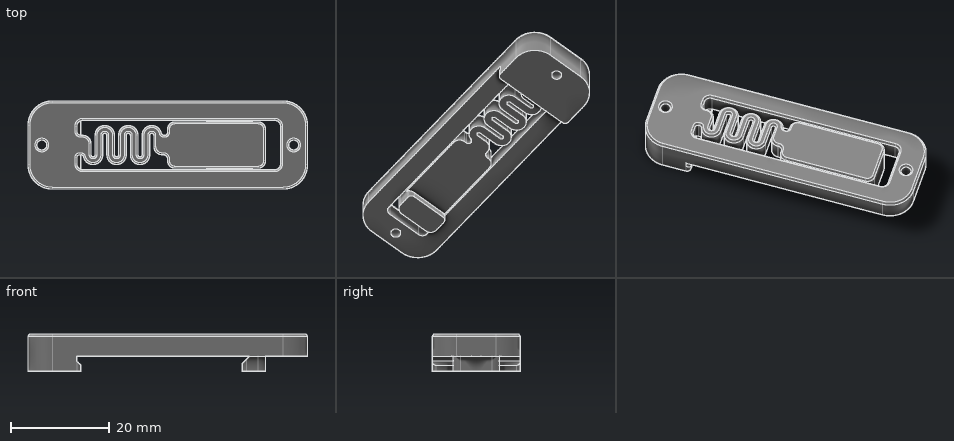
import cadquery as cq

length = 56.9
width = 18.0
height = 7.6
body_thickness = 4.6
body_bottom = height - body_thickness
corner_radius = 5.0

bevel_width = 0.4
bevel_height = 0.5

hole_diameter = 2.0
hole_x = 25.6

window_left = -18.5
window_right = 22.95
window_half_width = 5.0
window_corner_radius = 1.2

spring_width = 1.6
spring_gap = 0.8
bend_count = 6
bend_y = 2.0
first_bend_x = -15.2
bend_inner_radius = spring_gap / 2
bend_outer_radius = bend_inner_radius + spring_width
leg_pitch = spring_width + spring_gap
last_bend_x = first_bend_x + (bend_count - 1) * leg_pitch

tie_half_width = bend_y
tie_outer_radius = 1.7
tie_root_radius = 0.85
bend_root_radius = 0.55
stub_end = first_bend_x - bend_inner_radius
neck_end = last_bend_x + bend_inner_radius

pad_left = -0.05
pad_right = 19.9
pad_half_width = 4.7
pad_corner_radius = 1.55

rib_left = 7.85
rib_right = 17.2
rib_depth = 0.15
rib_z = body_bottom + body_thickness / 2

lip_depth = 0.85
lip_tip_height = 1.2
hook_left = 15.15
hook_tip_height = 1.6
hook_corner_radius = 0.9


def block(x_min, x_max, half_width, z_min, z_max):
    """Box symmetric about the XZ plane."""
    size = (x_max - x_min, 2 * half_width, z_max - z_min)
    return cq.Workplane("XY").box(*size, centered=False).translate((x_min, -half_width, z_min))


def body_block(x_min, x_max, half_width):
    return block(x_min, x_max, half_width, body_bottom, height)


def side_profile(points, half_width):
    """Extrude an XZ outline symmetrically along Y."""
    return cq.Workplane("XZ").polyline(points).close().extrude(half_width, both=True)


def make_frame():
    """Windowed plate with a thick end block that carries the undercut lip."""
    plate = block(-length / 2, length / 2, width / 2, 0, height)
    plate = plate.edges("|Z").fillet(corner_radius)
    lip_end = window_left + lip_depth
    lip_top = lip_tip_height + lip_depth
    clearance = side_profile(
        [
            (window_left, body_bottom),
            (window_left, lip_top),
            (lip_end, lip_tip_height),
            (lip_end, 0),
            (length / 2, 0),
            (length / 2, body_bottom),
        ],
        width,
    )
    lower_part = block(-length / 2, lip_end, width / 2, 0, body_bottom)
    lower_part = lower_part.edges("|Z and <X").fillet(corner_radius)
    lower_part = lower_part.edges("|Z and >X").fillet(lip_depth)
    lower_part = lower_part.cut(clearance)
    upper_part = plate.intersect(body_block(-length / 2, length / 2, width / 2))
    window = body_block(window_left, window_right, window_half_width)
    window = window.edges("|Z").fillet(window_corner_radius)
    return upper_part.cut(window).union(lower_part)


def make_bend(x, direction):
    """Half ring opening away from direction (+1 up, -1 down)."""
    ring = (
        cq.Workplane("XY", origin=(x, direction * bend_y, body_bottom))
        .circle(bend_outer_radius)
        .circle(bend_inner_radius)
        .extrude(body_thickness)
    )
    half = body_block(x - bend_outer_radius, x + bend_outer_radius, bend_outer_radius / 2)
    return ring.intersect(half.translate((0, direction * (bend_y + bend_outer_radius / 2), 0)))


def make_spring():
    stub = body_block(window_left, stub_end, tie_half_width)
    stub = stub.edges("|Z and >X and >Y").fillet(tie_outer_radius)
    neck = body_block(neck_end, pad_left, tie_half_width)
    neck = neck.edges("|Z and <X and <Y").fillet(tie_outer_radius)
    spring = stub.union(neck)
    for i in range(bend_count):
        bend_x = first_bend_x + i * leg_pitch
        direction = 1 if i % 2 else -1
        spring = spring.union(make_bend(bend_x, direction))
        if i < bend_count - 1:
            leg_start = bend_x + bend_inner_radius
            spring = spring.union(body_block(leg_start, leg_start + spring_width, bend_y))
    return spring


def make_pad():
    pad = body_block(pad_left, pad_right, pad_half_width)
    return pad.edges("|Z").fillet(pad_corner_radius)


def fillet_at(solid, x, y, radius):
    """Fillet the vertical body edge that stands at (x, y)."""
    reach = 0.03
    corner = cq.selectors.BoxSelector(
        (x - reach, y - reach, body_bottom), (x + reach, y + reach, height)
    )
    return solid.edges("|Z").edges(corner).fillet(radius)


def round_roots(solid):
    """Round the inner corners where the stub and the neck meet their neighbours."""
    solid = fillet_at(solid, window_left, tie_half_width, tie_root_radius)
    solid = fillet_at(solid, window_left, -tie_half_width, bend_root_radius)
    solid = fillet_at(solid, first_bend_x - bend_outer_radius, -tie_half_width, bend_root_radius)
    solid = fillet_at(solid, pad_left, -tie_half_width, tie_root_radius)
    solid = fillet_at(solid, pad_left, tie_half_width, bend_root_radius)
    return fillet_at(solid, last_bend_x + bend_outer_radius, tie_half_width, bend_root_radius)


def drill_holes(solid):
    drill = (
        cq.Workplane("XY")
        .pushPoints([(-hole_x, 0), (hole_x, 0)])
        .circle(hole_diameter / 2)
        .extrude(height)
    )
    return solid.cut(drill)


def make_hook():
    """Hook under the free end of the pad, facing the lip of the frame."""
    hook = block(hook_left, pad_right, pad_half_width, 0, body_bottom)
    hook = hook.edges("|Z and <X").fillet(hook_corner_radius)
    hook = hook.edges("|Z and >X").fillet(pad_corner_radius)
    undercut = body_bottom - hook_tip_height
    wedge = side_profile(
        [
            (hook_left, hook_tip_height),
            (hook_left, body_bottom),
            (hook_left + undercut, body_bottom),
        ],
        width,
    )
    return hook.cut(wedge)


def make_rib(side):
    """Triangular rib along the pad; side is +1 for +Y and -1 for -Y."""
    root = side * (pad_half_width - rib_depth)
    tip = side * (pad_half_width + rib_depth)
    outline = [(root, rib_z - 2 * rib_depth), (tip, rib_z), (root, rib_z + 2 * rib_depth)]
    rib = cq.Workplane("YZ", origin=(rib_left, 0, 0)).polyline(outline).close()
    return rib.extrude(rib_right - rib_left)


body = make_frame().union(make_spring()).union(make_pad())
body = drill_holes(round_roots(body))
body = body.faces(">Z").chamfer(bevel_width, bevel_height)
body = body.union(make_hook())
for side in (1, -1):
    body = body.union(make_rib(side))

result = body